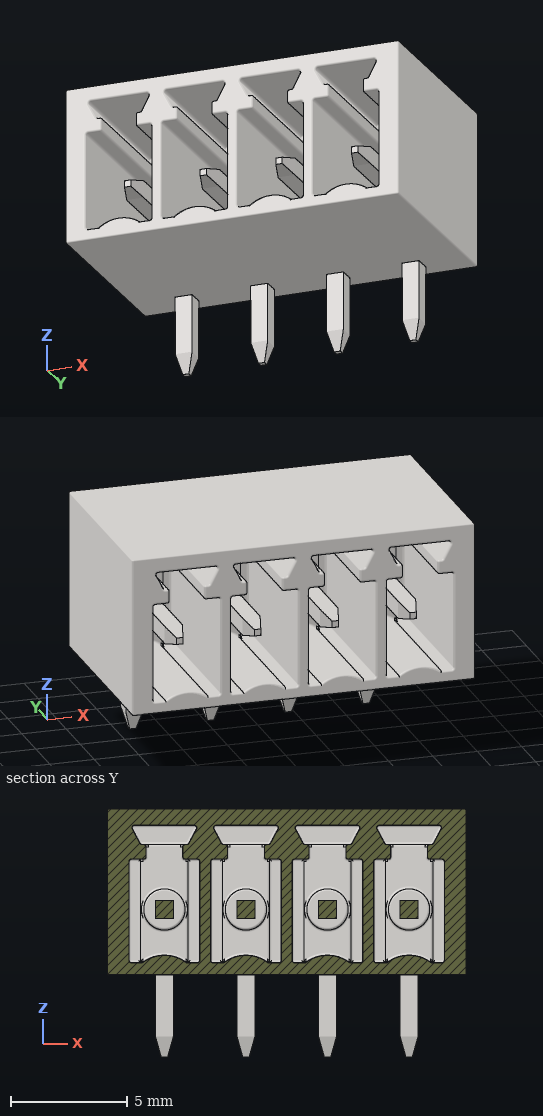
import cadquery as cq

WIDTH = 15.44
DEPTH = 9.14
TOTAL_HEIGHT = 10.67
PIN_BELOW = 3.54
HEIGHT = TOTAL_HEIGHT - PIN_BELOW
BLOCK_ROUND = 0.08
FRONT_Y = -DEPTH / 2
BACK_Y = DEPTH / 2

CONTACT_COUNT = 4
PITCH = 3.5
CONTACT_XS = [(i - (CONTACT_COUNT - 1) / 2) * PITCH for i in range(CONTACT_COUNT)]

CHAMBER_HALF = 1.51
NECK_HALF = 0.79
KEY_BOTTOM_HALF = 1.02
KEY_TOP_HALF = 1.45
CHAMBER_BOTTOM_Z = 0.52
CHAMBER_TOP_Z = 4.97
KEY_BOTTOM_Z = 5.6
KEY_TOP_Z = 6.42
HUMP_HALF = 0.95
HUMP_TOP_Z = 0.85
CAVITY_ROUND = 0.1

CAVITY_DEPTH = 7.1
PEDESTAL_HALF = 1.02
PEDESTAL_HEIGHT = 0.5
PEDESTAL_DEPTH = CAVITY_DEPTH - PEDESTAL_HEIGHT
MOUTH_DEPTH = PEDESTAL_DEPTH / 2
PEDESTAL_Y = FRONT_Y + PEDESTAL_DEPTH
COLLAR_RADIUS = 1.78 / 2
COLLAR_HEIGHT = 0.4

PIN_SIZE = 0.79
PIN_TIP_SIZE = 0.3
PIN_TAPER = 0.88
PIN_Z = 2.81
PIN_LEG_Y = BACK_Y - 1.27
PIN_TIP_Y = FRONT_Y + 1.05

TOLERANCE = 0.002


def make_block():
    block = cq.Workplane("XY").box(WIDTH, DEPTH, HEIGHT, centered=(True, True, False))
    return block.edges().fillet(BLOCK_ROUND)


def make_cavity_prism(depth):
    """Cavity outline centred on X = 0, run back from the front face, with rounded corners."""
    right_side = [
        (CHAMBER_HALF, CHAMBER_BOTTOM_Z),
        (CHAMBER_HALF, CHAMBER_TOP_Z),
        (NECK_HALF, CHAMBER_TOP_Z),
        (NECK_HALF, KEY_BOTTOM_Z),
        (KEY_BOTTOM_HALF, KEY_BOTTOM_Z),
        (KEY_TOP_HALF, KEY_TOP_Z),
    ]
    left_side = [(-x, z) for x, z in reversed(right_side)]
    prism = (
        cq.Workplane("XZ", origin=(0, FRONT_Y, 0))
        .moveTo(-HUMP_HALF, CHAMBER_BOTTOM_Z)
        .threePointArc((0, HUMP_TOP_Z), (HUMP_HALF, CHAMBER_BOTTOM_Z))
        .polyline(right_side + left_side, includeCurrent=True)
        .close()
        .extrude(-depth)
    )
    return (
        prism.edges("|Y")
        .filter(lambda edge: abs(abs(edge.Center().x) - HUMP_HALF) > TOLERANCE)
        .fillet(CAVITY_ROUND)
    )


def flare_mouth(prism):
    """The prism with its front rim widened by a rounded edge."""
    bay = cq.Workplane("XY").box(PITCH, DEPTH, HEIGHT, centered=(True, True, False))
    opened_bay = (
        bay.cut(prism)
        .faces("<Y")
        .edges(cq.selectors.BoxSelector(
            (-PITCH / 2 + TOLERANCE, FRONT_Y - TOLERANCE, TOLERANCE),
            (PITCH / 2 - TOLERANCE, FRONT_Y + TOLERANCE, HEIGHT - TOLERANCE),
            boundingbox=True,
        ))
        .fillet(CAVITY_ROUND)
    )
    return bay.cut(opened_bay)


def make_stepped_end():
    """Deep end of the cavity around the pedestal, with its floor and pedestal edges rounded."""
    pedestal = (
        cq.Workplane("XY", origin=(0, PEDESTAL_Y, 0))
        .box(2 * PEDESTAL_HALF, PEDESTAL_HEIGHT, KEY_BOTTOM_Z, centered=(True, False, False))
    )
    stepped = make_cavity_prism(CAVITY_DEPTH).cut(pedestal)
    stepped = stepped.faces(">Y").edges().fillet(CAVITY_ROUND)
    pedestal_rim = (
        stepped.edges(cq.selectors.BoxSelector(
            (-PEDESTAL_HALF - TOLERANCE, PEDESTAL_Y - TOLERANCE, CHAMBER_BOTTOM_Z),
            (PEDESTAL_HALF + TOLERANCE, PEDESTAL_Y + TOLERANCE, KEY_BOTTOM_Z + TOLERANCE),
            boundingbox=True,
        ))
        .filter(lambda edge: edge.Center().z > KEY_BOTTOM_Z - TOLERANCE
                or abs(edge.Center().x) > PEDESTAL_HALF - TOLERANCE)
    )
    return pedestal_rim.fillet(CAVITY_ROUND)


def make_pedestal_corner_fill():
    """Rounded inside corner where the pedestal face meets the hump and the neck walls."""
    prism = make_cavity_prism(PEDESTAL_DEPTH)
    fill = prism.cut(prism.faces(">Y").edges().fillet(CAVITY_ROUND))
    pedestal_zone = cq.Workplane("XY").box(
        2 * PEDESTAL_HALF, DEPTH, KEY_BOTTOM_Z, centered=(True, True, False)
    )
    return fill.intersect(pedestal_zone)


def make_collar():
    """Round collar on the pedestal: flared foot, rounded top edge."""
    foot_radius = COLLAR_RADIUS + CAVITY_ROUND
    top_radius = COLLAR_RADIUS - CAVITY_ROUND
    bend = CAVITY_ROUND * (1 - 0.5 ** 0.5)
    profile = (
        cq.Workplane("XY")
        .moveTo(0, -CAVITY_ROUND)
        .lineTo(foot_radius, -CAVITY_ROUND)
        .lineTo(foot_radius, 0)
        .threePointArc((COLLAR_RADIUS + bend, bend), (COLLAR_RADIUS, CAVITY_ROUND))
        .lineTo(COLLAR_RADIUS, COLLAR_HEIGHT - CAVITY_ROUND)
        .threePointArc((COLLAR_RADIUS - bend, COLLAR_HEIGHT - bend), (top_radius, COLLAR_HEIGHT))
        .lineTo(0, COLLAR_HEIGHT)
        .close()
    )
    collar = profile.revolve(360, (0, 0, 0), (0, 1, 0))
    return collar.mirror("XZ").translate((0, PEDESTAL_Y, PIN_Z))


def make_cavity():
    """Space removed from the block for one contact, centred on X = 0."""
    return (
        make_stepped_end()
        .union(flare_mouth(make_cavity_prism(MOUTH_DEPTH)))
        .cut(make_pedestal_corner_fill())
        .cut(make_collar())
    )


def make_pin_tip(origin, direction):
    """Square taper leading out from the origin, ending at a small flat."""
    return (
        cq.Workplane(cq.Plane(origin, (1, 0, 0), direction))
        .rect(PIN_SIZE, PIN_SIZE)
        .workplane(offset=PIN_TAPER)
        .rect(PIN_TIP_SIZE, PIN_TIP_SIZE)
        .loft(ruled=True)
    )


def make_pin():
    """Bent pin: a contact arm pointing forward and a leg going down."""
    arm_front_y = PIN_TIP_Y + PIN_TAPER
    leg_bottom_z = -PIN_BELOW + PIN_TAPER
    arm = (
        cq.Workplane("XZ", origin=(0, PIN_LEG_Y, PIN_Z))
        .rect(PIN_SIZE, PIN_SIZE)
        .extrude(PIN_LEG_Y - arm_front_y)
    )
    leg = (
        cq.Workplane("XY", origin=(0, PIN_LEG_Y, leg_bottom_z))
        .rect(PIN_SIZE, PIN_SIZE)
        .extrude(PIN_Z - leg_bottom_z)
    )
    arm_tip = make_pin_tip((0, arm_front_y, PIN_Z), (0, -1, 0))
    leg_tip = make_pin_tip((0, PIN_LEG_Y, leg_bottom_z), (0, 0, -1))
    return arm.union(leg).union(arm_tip).union(leg_tip)


block = make_block()
cavity = make_cavity()
pin = make_pin()
for contact_x in CONTACT_XS:
    block = block.cut(cavity.translate((contact_x, 0, 0)))
    block = block.union(pin.translate((contact_x, 0, 0)))

result = block